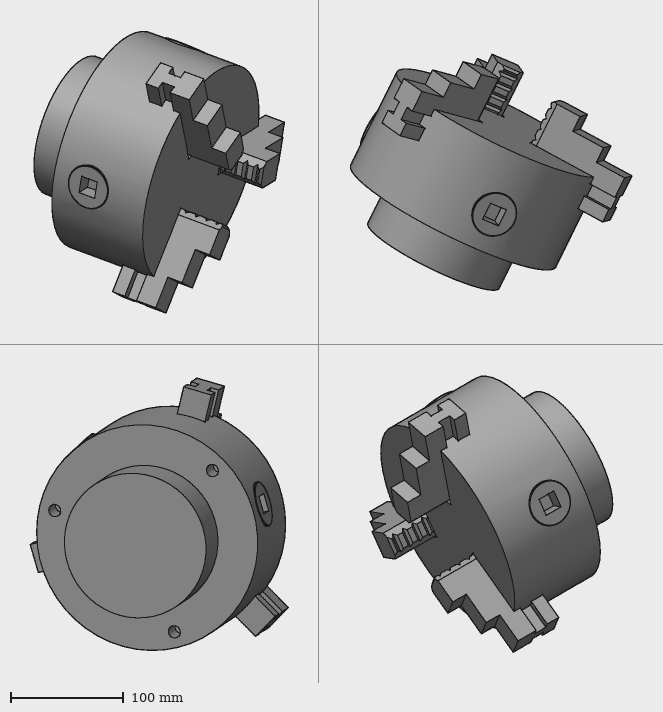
import cadquery as cq


STATIONS = 3
STATION_PITCH = 360 / STATIONS
JAW_ANGLE = 13.4
PINION_ANGLE = JAW_ANGLE + STATION_PITCH / 2
BOLT_ANGLE = JAW_ANGLE + STATION_PITCH / 4

BODY_DIAMETER = 203.0
BODY_RADIUS = BODY_DIAMETER / 2
HUB_DIAMETER = 130.0
HUB_LENGTH = 39.8
FACE_X = 133.3
BOLT_HOLE_DIAMETER = 11.0
BOLT_HOLE_DEPTH = 23.0
BOLT_CIRCLE_RADIUS = 87.2

JAW_WIDTH = 26.0
JAW_BACK_X = 101.7
JAW_FRONT_X = 175.5
STEP_LENGTH = 14.7
TOP_STEP_X = JAW_FRONT_X - STEP_LENGTH
MIDDLE_STEP_X = TOP_STEP_X - STEP_LENGTH
JAW_TIP_RADIUS = 35.3
TOP_STEP_RADIUS = 65.3
MIDDLE_STEP_RADIUS = 96.9
JAW_OUTER_RADIUS = 126.0
GUIDE_START_X = 114.3
GUIDE_WIDTH = 12.1
GUIDE_DEPTH = 7.3
NOSE_CHAMFER = 6.5
TOOTH_DEPTH = 2.5
TOOTH_PITCH = 10.5
FIRST_TOOTH_X = 137.4
TOOTH_COUNT = 4

PINION_DIAMETER = 40.5
PINION_X = 74.9
PINION_PROTRUSION = 0.2
PINION_FACE_RADIUS = BODY_RADIUS + PINION_PROTRUSION
PINION_CHAMFER = 0.7
SOCKET_WIDTH = 16.0
SOCKET_DEPTH = 15.5
PINION_LENGTH = 2 * SOCKET_DEPTH


def turned(shape, start_angle, index):
    """Turn a +Z shape about the spindle axis to one of the stations."""
    return shape.rotate((0, 0, 0), (1, 0, 0), start_angle + index * STATION_PITCH)


def jaw_guides(inner_radius, outer_radius):
    """The two bars that fill the guide grooves in the sides of a jaw."""
    guides = cq.Workplane("XY")
    for side in (-1, 1):
        bar = cq.Workplane("XY").box(
            GUIDE_WIDTH, GUIDE_DEPTH, outer_radius - inner_radius, centered=(False, True, False)
        )
        bar_y = side * (JAW_WIDTH - GUIDE_DEPTH) / 2
        guides = guides.add(bar.translate((GUIDE_START_X, bar_y, inner_radius)))
    return guides.combine()


def jaw_teeth():
    """V grooves across the nose, ending with half a groove at the front edge."""
    groove_xs = [FIRST_TOOTH_X + i * TOOTH_PITCH for i in range(TOOTH_COUNT)]
    groove_xs.append(JAW_FRONT_X)
    grooves = cq.Workplane("XZ")
    for x in groove_xs:
        groove = (
            cq.Workplane("XZ")
            .moveTo(x - TOOTH_DEPTH, JAW_TIP_RADIUS)
            .lineTo(x, JAW_TIP_RADIUS + TOOTH_DEPTH)
            .lineTo(x + TOOTH_DEPTH, JAW_TIP_RADIUS)
            .close()
            .extrude(JAW_WIDTH / 2, both=True)
        )
        grooves = grooves.add(groove)
    return grooves.combine()


def make_jaw():
    stepped_block = (
        cq.Workplane("XZ")
        .moveTo(JAW_BACK_X, JAW_TIP_RADIUS)
        .lineTo(JAW_FRONT_X, JAW_TIP_RADIUS)
        .lineTo(JAW_FRONT_X, TOP_STEP_RADIUS)
        .lineTo(TOP_STEP_X, TOP_STEP_RADIUS)
        .lineTo(TOP_STEP_X, MIDDLE_STEP_RADIUS)
        .lineTo(MIDDLE_STEP_X, MIDDLE_STEP_RADIUS)
        .lineTo(MIDDLE_STEP_X, JAW_OUTER_RADIUS)
        .lineTo(JAW_BACK_X, JAW_OUTER_RADIUS)
        .close()
        .extrude(JAW_WIDTH / 2, both=True)
    )
    nosed_block = stepped_block.faces("<Z").edges("|X").chamfer(NOSE_CHAMFER)
    return nosed_block.cut(jaw_guides(JAW_TIP_RADIUS, JAW_OUTER_RADIUS)).cut(jaw_teeth())


def jaw_slot():
    """Slot with the jaw's cross-section, from the jaw nose out through the housing wall."""
    slot = cq.Workplane("XY").box(
        FACE_X - JAW_BACK_X, JAW_WIDTH, BODY_RADIUS - JAW_TIP_RADIUS, centered=(False, True, False)
    )
    slot = slot.translate((JAW_BACK_X, 0, JAW_TIP_RADIUS))
    return slot.cut(jaw_guides(JAW_TIP_RADIUS, BODY_RADIUS))


def pinion_blank():
    return (
        cq.Workplane("XY", origin=(PINION_X, 0, PINION_FACE_RADIUS))
        .circle(PINION_DIAMETER / 2)
        .extrude(-PINION_LENGTH)
    )


def make_pinion():
    pinion = pinion_blank().faces(">Z").chamfer(PINION_CHAMFER)
    return pinion.faces(">Z").workplane().rect(SOCKET_WIDTH, SOCKET_WIDTH).cutBlind(-SOCKET_DEPTH)


def bolt_hole():
    return (
        cq.Workplane("YZ", origin=(HUB_LENGTH, 0, BOLT_CIRCLE_RADIUS))
        .circle(BOLT_HOLE_DIAMETER / 2)
        .extrude(BOLT_HOLE_DEPTH)
    )


def make_housing():
    hub = cq.Workplane("YZ").circle(HUB_DIAMETER / 2).extrude(HUB_LENGTH)
    drum = cq.Workplane("YZ", origin=(HUB_LENGTH, 0, 0)).circle(BODY_RADIUS).extrude(FACE_X - HUB_LENGTH)
    housing = hub.union(drum)
    for i in range(STATIONS):
        housing = housing.cut(turned(jaw_slot(), JAW_ANGLE, i))
        housing = housing.cut(turned(pinion_blank(), PINION_ANGLE, i))
        housing = housing.cut(turned(bolt_hole(), BOLT_ANGLE, i))
    return housing


housing = make_housing().solids().val()
jaws = [turned(make_jaw(), JAW_ANGLE, i).solids().val() for i in range(STATIONS)]
pinions = [turned(make_pinion(), PINION_ANGLE, i).solids().val() for i in range(STATIONS)]

result = cq.Compound.makeCompound([housing, *jaws, *pinions])